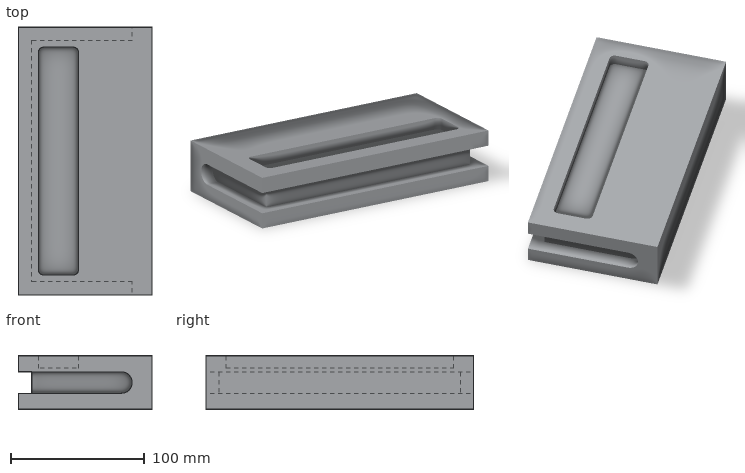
import cadquery as cq

width = 100.0
length = 200.0
height = 40.0

groove_height = 16.0
groove_depth = 10.0
groove_reach = 85.0

pocket_margin = 15.0
pocket_width = 30.0
pocket_length = length - 2 * pocket_margin
pocket_depth = 9.0
pocket_corner_radius = 4.0


def box(size_x, size_y, size_z, corner):
    return cq.Workplane("XY").box(size_x, size_y, size_z, centered=False).translate(corner)


def side_groove():
    bottom = (height - groove_height) / 2
    return box(groove_depth, length, groove_height, (0, 0, bottom))


def end_groove(start_y):
    """Groove across one end, open at the left side and rounded at its right tip."""
    radius = groove_height / 2
    straight = groove_reach - radius
    bottom = (height - groove_height) / 2
    profile = (
        cq.Workplane("XZ", origin=(0, start_y, bottom))
        .lineTo(straight, 0)
        .threePointArc((groove_reach, radius), (straight, groove_height))
        .lineTo(0, groove_height)
        .close()
    )
    return profile.extrude(-groove_depth)


def top_pocket():
    corner = (pocket_margin, pocket_margin, height - pocket_depth)
    pocket = box(pocket_width, pocket_length, pocket_depth, corner)
    return pocket.edges("|Z").fillet(pocket_corner_radius)


result = box(width, length, height, (0, 0, 0)).cut(side_groove())
for start_y in (0, length - groove_depth):
    result = result.cut(end_groove(start_y))
result = result.cut(top_pocket())